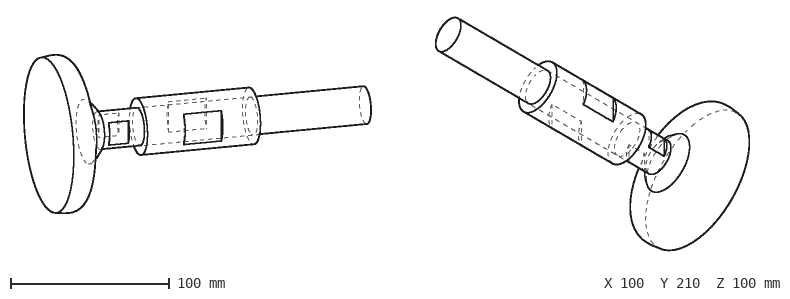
import cadquery as cq
import math


base_radius = 50.0
sole_radius = 49.2
sole_height = 6.0
rim_top = 8.9
rim_round_radius = 7.5
cone_angle = math.radians(20)
dome_base_radius = 20.5
dome_top = 33.0
dome_bulge = 0.9

total_length = 210.0
spindle_diameter = 24.0
spindle_flat_width = 19.0
spindle_flat_clearance = 3.5
spindle_flat_start = dome_top + spindle_flat_clearance
spindle_flat_length = 13.0

sleeve_diameter = 36.0
sleeve_clearance = 26.5
sleeve_start = dome_top + sleeve_clearance
sleeve_length = 75.0
sleeve_flat_width = 30.0
sleeve_flat_length = sleeve_length / 3


def cylinder_y(diameter, start, length):
    """Solid cylinder on the Y axis, running from start toward +Y."""
    plane = cq.Workplane("XZ", origin=(0, start, 0))
    return plane.circle(diameter / 2).extrude(-length)


def cut_wrench_flats(body, diameter, across_flats, start, length):
    """Cut two opposite flats, facing -X and +X, into a round body."""
    depth = (diameter - across_flats) / 2
    for side in (-1, 1):
        cutter = (
            cq.Workplane("XY")
            .box(depth, length, diameter)
            .translate((side * (across_flats + depth) / 2, start + length / 2, 0))
        )
        body = body.cut(cutter)
    return body


def make_base():
    """Revolved base: tapered sole, rounded rim, shallow cone and domed top."""
    round_centre_x = base_radius - rim_round_radius

    def rim_round_point(angle):
        return (
            round_centre_x + rim_round_radius * math.cos(angle),
            rim_top + rim_round_radius * math.sin(angle),
        )

    round_end_angle = math.pi / 2 - cone_angle
    cone_start = rim_round_point(round_end_angle)
    cone_rise = (cone_start[0] - dome_base_radius) * math.tan(cone_angle)
    dome_start = (dome_base_radius, cone_start[1] + cone_rise)
    dome_end = (spindle_diameter / 2, dome_top)

    chord_x = dome_end[0] - dome_start[0]
    chord_y = dome_end[1] - dome_start[1]
    chord = math.hypot(chord_x, chord_y)
    dome_middle = (
        (dome_start[0] + dome_end[0]) / 2 + dome_bulge * chord_y / chord,
        (dome_start[1] + dome_end[1]) / 2 - dome_bulge * chord_x / chord,
    )

    return (
        cq.Workplane("XY")
        .lineTo(sole_radius, 0)
        .lineTo(base_radius, sole_height)
        .lineTo(base_radius, rim_top)
        .threePointArc(rim_round_point(round_end_angle / 2), cone_start)
        .lineTo(*dome_start)
        .threePointArc(dome_middle, dome_end)
        .lineTo(0, dome_top)
        .close()
        .revolve(360, (0, 0, 0), (0, 1, 0))
    )


def make_spindle_foot():
    """Base and spindle in one piece, with wrench flats just above the base."""
    spindle = cylinder_y(spindle_diameter, dome_top, total_length - dome_top)
    spindle = cut_wrench_flats(
        spindle, spindle_diameter, spindle_flat_width, spindle_flat_start, spindle_flat_length
    )
    return make_base().union(spindle)


def make_sleeve():
    """Sleeve bored to the spindle, with wrench flats at the middle of its length."""
    sleeve = cylinder_y(sleeve_diameter, sleeve_start, sleeve_length)
    sleeve = sleeve.cut(cylinder_y(spindle_diameter, sleeve_start, sleeve_length))
    flat_start = sleeve_start + (sleeve_length - sleeve_flat_length) / 2
    return cut_wrench_flats(sleeve, sleeve_diameter, sleeve_flat_width, flat_start, sleeve_flat_length)


spindle_foot = make_spindle_foot()
sleeve = make_sleeve()

result = cq.Compound.makeCompound([spindle_foot.val(), sleeve.val()])